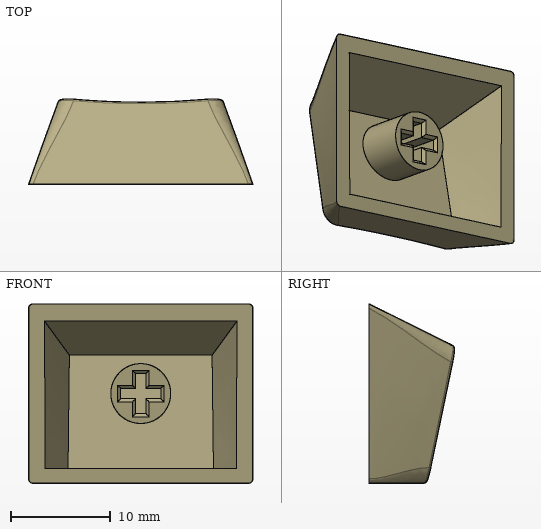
import cadquery as cq
import math

rim_width = 22.5
rim_height = 18.0
rim_corner_radius = 0.45
cap_half_width = 8.24
cap_upper_depth = 8.75
cap_upper_z = 4.65
cap_tilt = math.radians(11.75)
corner_radius_at_cap = 1.62
section_count = 5

dish_radius = 69.75
cap_edge_radius = 0.32

pocket_half_width_upper = 9.65
pocket_half_width_lower = 9.58
pocket_upper_z = 7.27
pocket_lower_z = -7.52
floor_half_width_upper = 7.15
floor_half_width_lower = 7.3
floor_upper_z = 3.85
floor_upper_depth = 7.09

stem_diameter = 6.0
stem_face_depth = 1.0
cross_length = 4.03
cross_slot_width = 1.04
cross_chamfer = 0.32


def depth_on_slope(start_depth, start_z, z):
    """Y at height z on a plane tilted like the cap."""
    return start_depth - (start_z - z) * math.tan(cap_tilt)


def blend(start, end, fraction):
    return start + (end - start) * fraction


def shell_section(fraction):
    """Rounded rectangle part of the way from the rim (0) to the cap (1)."""
    lower_z = -rim_height / 2
    cap_lower_depth = depth_on_slope(cap_upper_depth, cap_upper_z, lower_z)
    upper_z = blend(rim_height / 2, cap_upper_z, fraction)
    upper_depth = cap_upper_depth * fraction
    lower_depth = cap_lower_depth * fraction
    half_width = blend(rim_width / 2, cap_half_width, fraction)
    length = math.hypot(upper_z - lower_z, upper_depth - lower_depth)
    easing = fraction**2 * (3 - 2 * fraction)
    radius = blend(rim_corner_radius, corner_radius_at_cap, easing)
    plane = cq.Plane(
        origin=(0, (upper_depth + lower_depth) / 2, (upper_z + lower_z) / 2),
        xDir=(1, 0, 0),
        normal=(0, upper_z - lower_z, lower_depth - upper_depth),
    )
    face = cq.Face.makeFromWires(cq.Workplane(plane).rect(2 * half_width, length).val())
    return face.fillet2D(radius, face.Vertices()).outerWire()


def make_shell():
    sections = [shell_section(i / (section_count - 1)) for i in range(section_count)]
    return cq.Workplane(cq.Solid.makeLoft(sections))


def make_dish():
    """Cylinder along the cap slope that meets the cap plane at its side edges."""
    dish_depth = dish_radius - math.sqrt(dish_radius**2 - cap_half_width**2)
    slope = cq.Vector(0, math.sin(cap_tilt), math.cos(cap_tilt))
    outward = cq.Vector(0, math.cos(cap_tilt), -math.sin(cap_tilt))
    cap_edge = cq.Vector(0, cap_upper_depth, cap_upper_z)
    axis_point = cap_edge + outward * (dish_radius - dish_depth)
    start = axis_point - slope * (2 * rim_height)
    return cq.Workplane(cq.Solid.makeCylinder(dish_radius, 4 * rim_height, start, slope))


def make_pocket():
    floor_lower_depth = depth_on_slope(floor_upper_depth, floor_upper_z, pocket_lower_z)
    opening = [
        cq.Vector(-pocket_half_width_lower, 0, pocket_lower_z),
        cq.Vector(pocket_half_width_lower, 0, pocket_lower_z),
        cq.Vector(pocket_half_width_upper, 0, pocket_upper_z),
        cq.Vector(-pocket_half_width_upper, 0, pocket_upper_z),
    ]
    floor = [
        cq.Vector(-floor_half_width_lower, floor_lower_depth, pocket_lower_z),
        cq.Vector(floor_half_width_lower, floor_lower_depth, pocket_lower_z),
        cq.Vector(floor_half_width_upper, floor_upper_depth, floor_upper_z),
        cq.Vector(-floor_half_width_upper, floor_upper_depth, floor_upper_z),
    ]
    wires = [cq.Wire.makePolygon(points, close=True) for points in (opening, floor)]
    return cq.Workplane(cq.Solid.makeLoft(wires, True))


def make_stem():
    start = cq.Vector(0, stem_face_depth, 0)
    length = floor_upper_depth - stem_face_depth
    return cq.Workplane(cq.Solid.makeCylinder(stem_diameter / 2, length, start, cq.Vector(0, 1, 0)))


def make_cross():
    """Cross-shaped bar whose end at the stem face flares out by the chamfer."""
    face = cq.Workplane("XZ", origin=(0, stem_face_depth, 0))
    cross = None
    for width, height in ((cross_length, cross_slot_width), (cross_slot_width, cross_length)):
        bar = face.rect(width, height).extrude(-floor_upper_depth)
        flare = (
            face.rect(width + 2 * cross_chamfer, height + 2 * cross_chamfer)
            .workplane(offset=-cross_chamfer)
            .rect(width, height)
            .loft(ruled=True)
        )
        arm = bar.union(flare)
        cross = arm if cross is None else cross.union(arm)
    return cross


shell = make_shell().cut(make_dish())
shell = shell.faces(">Y").edges().fillet(cap_edge_radius)
pocket = make_pocket()
stem = make_stem().intersect(pocket)
socket = make_cross().intersect(pocket)
result = shell.cut(pocket).union(stem).cut(socket)